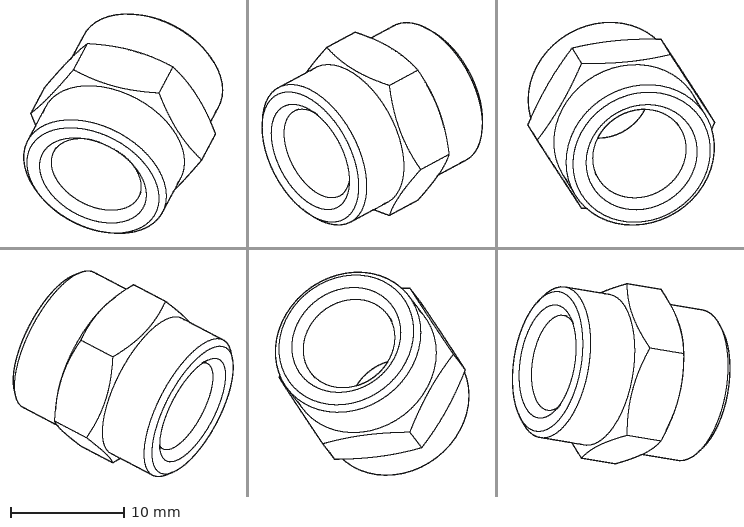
import cadquery as cq
import math

hex_across_corners = 16.17
hex_width = 5.0
hex_chamfer_angle = 30.0
body_length = 15.0
body_diameter = 13.5
body_chamfer = 0.5
bore_diameter = 8.5
countersink_diameter = 10.1
countersink_depth = (countersink_diameter - bore_diameter) / 2

body_radius = body_diameter / 2
bore_radius = bore_diameter / 2
hex_corner_radius = hex_across_corners / 2


def make_body():
    """Round body with chamfered outer edges at both ends."""
    cylinder = cq.Workplane("XZ").circle(body_radius).extrude(body_length / 2, both=True)
    return cylinder.faces("<Y or >Y").chamfer(body_chamfer)


def make_hexagon():
    """Central hexagon, corners on the X axis, trimmed by a cone on each side."""
    prism = cq.Workplane("XZ").polygon(6, hex_across_corners).extrude(hex_width / 2, both=True)
    side = hex_width / 2
    cone_drop = (hex_corner_radius - body_radius) * math.tan(math.radians(hex_chamfer_angle))
    overshoot = 2.0
    envelope_radius = body_radius + overshoot * (hex_corner_radius - body_radius)
    envelope_side = side - overshoot * cone_drop
    envelope = (
        cq.Workplane("XY")
        .moveTo(0, -side)
        .lineTo(body_radius, -side)
        .lineTo(envelope_radius, -envelope_side)
        .lineTo(envelope_radius, envelope_side)
        .lineTo(body_radius, side)
        .lineTo(0, side)
        .close()
        .revolve(360, (0, 0, 0), (0, 1, 0))
    )
    return prism.intersect(envelope)


def make_bore():
    """Through bore with a countersink at both ends."""
    end = body_length / 2
    countersink_radius = countersink_diameter / 2
    return (
        cq.Workplane("XY")
        .moveTo(0, -end)
        .lineTo(countersink_radius, -end)
        .lineTo(bore_radius, -end + countersink_depth)
        .lineTo(bore_radius, end - countersink_depth)
        .lineTo(countersink_radius, end)
        .lineTo(0, end)
        .close()
        .revolve(360, (0, 0, 0), (0, 1, 0))
    )


result = make_body().union(make_hexagon()).cut(make_bore())